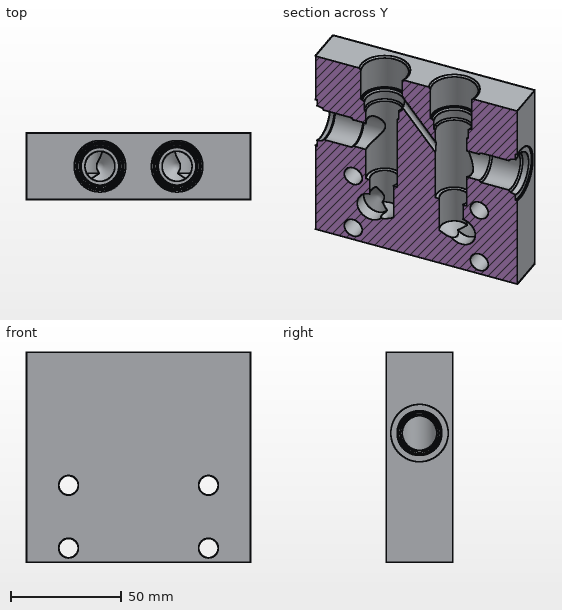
import cadquery as cq
import math

LENGTH = 101.6
THICKNESS = 30.2
HEIGHT = 95.3

MOUNT_DIAMETER = 8.7
MOUNT_SPACING_X = 63.4
MOUNT_HEIGHTS = (6.5, 35.0)

DRILL_POINT_HALF_ANGLE = math.radians(59)

CAVITY_SPACING = 35.0
CAVITY_X = CAVITY_SPACING / 2
MOUTH_RADIUS = 11.7
ENTRY_RADIUS = 10.9
LEDGE_RADIUS = 10.5
SEAT_RADIUS = 10.1
MIDDLE_RADIUS = 9.2
LOWER_RADIUS = 8.5
DRILL_RADIUS = 6.8
MOUTH_CHAMFER = MOUTH_RADIUS - ENTRY_RADIUS
ENTRY_FLOOR_Z = 78.2
MIDDLE_FLOOR_Z = 73.2
LOWER_FLOOR_Z = 35.6
CAVITY_TIP_Z = 14.1

PORT_Z = 58.6
SPOTFACE_RADIUS = 13.0
SPOTFACE_DEPTH = 0.8
SEAL_RADIUS = 10.2
SEAL_DEPTH = 3.5
SEAL_END_RADIUS = 9.4
THREAD_RADIUS = 8.6
THREAD_END = 18.3
PORT_RADIUS = 7.8

BACK_X = 22.8
BACK_Z = 20.7
BACK_RADIUS = DRILL_RADIUS
BACK_END_Y = -3.3

PASSAGE_RADIUS = 1.7
PASSAGE_Y = 3.4
PASSAGE_SLOPE = math.radians(50)
PASSAGE_EXIT_X = -9.5
PASSAGE_EXIT_Z = 63.2
PASSAGE_OVERRUN = 4.1


def drill_point_length(radius):
    return radius / math.tan(DRILL_POINT_HALF_ANGLE)


def cavity(x):
    """Stepped bore with a conical drill point, revolved about a vertical axis."""
    profile = [
        (0, HEIGHT),
        (MOUTH_RADIUS, HEIGHT),
        (ENTRY_RADIUS, HEIGHT - MOUTH_CHAMFER),
        (ENTRY_RADIUS, ENTRY_FLOOR_Z + ENTRY_RADIUS - LEDGE_RADIUS),
        (LEDGE_RADIUS, ENTRY_FLOOR_Z),
        (SEAT_RADIUS, ENTRY_FLOOR_Z),
        (MIDDLE_RADIUS, ENTRY_FLOOR_Z - SEAT_RADIUS + MIDDLE_RADIUS),
        (MIDDLE_RADIUS, MIDDLE_FLOOR_Z),
        (LOWER_RADIUS, MIDDLE_FLOOR_Z - MIDDLE_RADIUS + LOWER_RADIUS),
        (LOWER_RADIUS, LOWER_FLOOR_Z),
        (DRILL_RADIUS, LOWER_FLOOR_Z),
        (DRILL_RADIUS, CAVITY_TIP_Z + drill_point_length(DRILL_RADIUS)),
        (0, CAVITY_TIP_Z),
    ]
    bore = cq.Workplane("XZ").polyline(profile).close().revolve(360, (0, 0), (0, 1))
    return bore.translate((x, 0, 0))


def side_port():
    """Port on the -X end: spotface, tapered seal seat, thread bore and drill into the cavity."""
    face_x = -LENGTH / 2
    cavity_axis_depth = LENGTH / 2 - CAVITY_X
    thread_finish = THREAD_END + THREAD_RADIUS - PORT_RADIUS
    thread_start = SEAL_DEPTH + SEAL_END_RADIUS - THREAD_RADIUS
    profile = [
        (0, 0),
        (0, SPOTFACE_RADIUS),
        (SPOTFACE_DEPTH, SPOTFACE_RADIUS),
        (SPOTFACE_DEPTH, SEAL_RADIUS),
        (SEAL_DEPTH, SEAL_END_RADIUS),
        (thread_start, THREAD_RADIUS),
        (THREAD_END, THREAD_RADIUS),
        (thread_finish, PORT_RADIUS),
        (cavity_axis_depth, PORT_RADIUS),
        (cavity_axis_depth, 0),
    ]
    port = cq.Workplane("XY").polyline(profile).close().revolve(360, (0, 0), (1, 0))
    return port.translate((face_x, 0, PORT_Z))


def drilling(radius, start, tip):
    """Blind hole with a drill point, running from start to tip."""
    axis = tip - start
    straight = axis.Length - drill_point_length(radius)
    profile = [(0, 0), (radius, 0), (radius, straight), (0, axis.Length)]
    plane = cq.Plane(origin=start, xDir=axis.cross(cq.Vector(0, 0, 1)), normal=axis)
    hole = cq.Workplane("XZ").polyline(profile).close().revolve(360, (0, 0), (0, 1))
    return cq.Workplane(hole.val().moved(cq.Location(plane)))


def back_drilling(x):
    """Horizontal drilling from the back face; BACK_END_Y is where its full diameter ends."""
    start = cq.Vector(x, THICKNESS / 2, BACK_Z)
    tip = cq.Vector(x, BACK_END_Y - drill_point_length(BACK_RADIUS), BACK_Z)
    return drilling(BACK_RADIUS, start, tip)


def passage():
    """Inclined drilling whose two ends lie in the open space of the two cavities."""
    wall_point = cq.Vector(PASSAGE_EXIT_X, PASSAGE_Y, PASSAGE_EXIT_Z)
    rise = cq.Vector(math.cos(PASSAGE_SLOPE), 0, math.sin(PASSAGE_SLOPE))
    web_length = (CAVITY_X - ENTRY_RADIUS - PASSAGE_EXIT_X) / math.cos(PASSAGE_SLOPE)
    start = wall_point + rise * (web_length + PASSAGE_OVERRUN)
    tip = wall_point - rise * PASSAGE_OVERRUN
    return drilling(PASSAGE_RADIUS, start, tip)


result = cq.Workplane("XY").box(LENGTH, THICKNESS, HEIGHT, centered=(True, True, False))

mount_points = [(side * MOUNT_SPACING_X / 2, z) for side in (-1, 1) for z in MOUNT_HEIGHTS]
mounts = (
    cq.Workplane("XZ")
    .pushPoints(mount_points)
    .circle(MOUNT_DIAMETER / 2)
    .extrude(THICKNESS / 2, both=True)
)
result = result.cut(mounts)

for side in (-1, 1):
    result = result.cut(cavity(side * CAVITY_X)).cut(back_drilling(side * BACK_X))

left_port = side_port()
result = result.cut(left_port).cut(left_port.mirror("YZ"))

result = result.cut(passage())